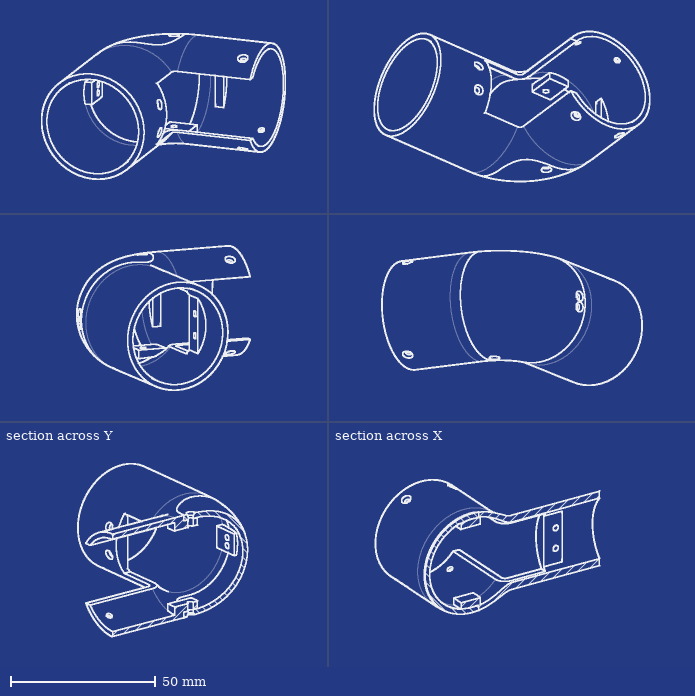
import cadquery as cq
import math


BEND_OUTER = 36.0
TUBE_RADIUS = 19.0
WALL = 2.0
SIDE_ARM_LENGTH = 36.0
END_ARM_LENGTH = 27.0

WINDOW_HALF_HEIGHT = 11.0
SIDE_RING_LENGTH = 22.0

COVER_SETBACK = 4.0

STOP_LENGTH = 3.0
STOP_DEPTH = 3.2
STOP_SETBACK = 3.0

BOSS_LENGTH = 7.6
BOSS_DEPTH = 3.0

PAD_WIDTH = 8.0
PAD_DEPTH = 3.0
PAD_REACH = 6.05
SCREW_PITCH = 4.0

SCREW_BORE = 2.0
SCREW_HEAD = 3.6
HEAD_DEPTH = 1.0
SCREW_REACH = 6.5
DRILL_CLEARANCE = 0.7

END_SCREW_INSET = 5.0
END_SCREW_ANGLE = 30.0
BOSS_SCREW_INSET = 5.0
BOSS_SCREW_ANGLE = 15.5

BEND_ROOT = 0.7

BEND_RADIUS = BEND_OUTER - TUBE_RADIUS
BORE_RADIUS = TUBE_RADIUS - WALL
COVER_CORNER_RADIUS = BEND_RADIUS - COVER_SETBACK
WINDOW_START_Y = SIDE_RING_LENGTH - SIDE_ARM_LENGTH
PAD_SCREW_OFFSET = COVER_SETBACK + PAD_REACH / 2


def block(x_range, y_range, z_range):
    """Axis-aligned block between the given limits."""
    size = [high - low for low, high in (x_range, y_range, z_range)]
    corner = cq.Vector(x_range[0], y_range[0], z_range[0])
    return cq.Workplane("XY").box(*size, centered=False).translate(corner)


def healed(body):
    """The same body with edge tolerances left by cutting the curved bend repaired."""
    return cq.Workplane(body.val().fix())


def side_arm_rod(radius):
    """Solid rod along the side arm."""
    return (
        cq.Workplane("XZ")
        .center(-BEND_RADIUS, 0)
        .circle(radius)
        .extrude(SIDE_ARM_LENGTH)
    )


def end_arm_rod(radius):
    """Solid rod along the end arm."""
    return cq.Workplane("YZ").center(BEND_RADIUS, 0).circle(radius).extrude(END_ARM_LENGTH)


def bend_rod(radius):
    """Quarter-turn rod, cut flat just short of the bend axis."""
    chord_half = math.sqrt(radius**2 - (BEND_RADIUS - BEND_ROOT) ** 2)
    return (
        cq.Workplane("XZ")
        .moveTo(-BEND_ROOT, -chord_half)
        .threePointArc((-BEND_RADIUS - radius, 0), (-BEND_ROOT, chord_half))
        .close()
        .revolve(90, (0, 0), (0, -1))
    )


def elbow_rod(radius):
    """Solid rod along both arms and the bend between them."""
    return side_arm_rod(radius).union(bend_rod(radius)).union(end_arm_rod(radius))


def bend_shell():
    """Curved wall of the whole bend."""
    return bend_rod(TUBE_RADIUS).cut(bend_rod(BORE_RADIUS))


def cover_region():
    """Upright prism holding the outside of the bend, with a rounded inner corner."""
    return (
        block(
            (-BEND_OUTER - 0.7, -COVER_SETBACK),
            (COVER_SETBACK, BEND_OUTER + 0.7),
            (-BEND_OUTER, BEND_OUTER),
        )
        .edges("|Z and >X and <Y")
        .fillet(COVER_CORNER_RADIUS)
    )


def window():
    """Opening along the inside corner, running out through the end arm."""
    z_range = (-WINDOW_HALF_HEIGHT, WINDOW_HALF_HEIGHT)
    side = block((-BEND_RADIUS, BEND_RADIUS), (WINDOW_START_Y, BEND_RADIUS), z_range)
    end = block((-BEND_RADIUS, END_ARM_LENGTH), (-BEND_RADIUS / 2, BEND_RADIUS), z_range)
    return side.union(end)


def stop_rib():
    """Flat-faced rib on the outer wall of the end arm."""
    face_y = BEND_RADIUS + BORE_RADIUS - STOP_DEPTH
    limits = block(
        (STOP_SETBACK, STOP_SETBACK + STOP_LENGTH),
        (face_y, BEND_OUTER),
        (-BORE_RADIUS, BORE_RADIUS),
    )
    return end_arm_rod(TUBE_RADIUS - WALL / 2).intersect(limits)


def screw_boss():
    """Flat-faced boss in the side arm, ending at the window edge."""
    face_x = -BEND_RADIUS + BORE_RADIUS - BOSS_DEPTH
    limits = block(
        (face_x, TUBE_RADIUS),
        (WINDOW_START_Y - BOSS_LENGTH, WINDOW_START_Y),
        (-BORE_RADIUS, BORE_RADIUS),
    )
    return side_arm_rod(TUBE_RADIUS - WALL / 2).intersect(limits)


def screw_hole(axis_point, outward):
    """Countersunk hole drilled square to the tube surface, towards its axis."""
    out = cq.Vector(*outward).normalized()
    surface = cq.Vector(*axis_point) + out * TUBE_RADIUS
    sideways = out.cross(cq.Vector(1, 1, 1))
    return (
        cq.Workplane(cq.Plane(surface, sideways, sideways.cross(out)))
        .polyline(
            [
                (0, DRILL_CLEARANCE),
                (SCREW_HEAD / 2, DRILL_CLEARANCE),
                (SCREW_HEAD / 2, 0),
                (SCREW_BORE / 2, -HEAD_DEPTH),
                (SCREW_BORE / 2, -SCREW_REACH),
                (0, -SCREW_REACH),
            ]
        )
        .close()
        .revolve(360, (0, 0), (0, 1))
    )


def drill(body, holes):
    """Cut every hole out of the body."""
    for hole in holes:
        body = body.cut(hole)
    return body


def bend_screw_hole(x, y, z):
    """Hole square to the bend, aimed through the given point."""
    bend_distance = math.hypot(x, y)
    scale = BEND_RADIUS / bend_distance
    axis_point = (x * scale, y * scale, 0)
    return screw_hole(axis_point, (x - axis_point[0], y - axis_point[1], z))


def cover_screw_holes():
    """A pair of screws on the side, one on top and one underneath."""
    holes = []
    for sign in (-1, 1):
        holes.append(bend_screw_hole(-BEND_OUTER, PAD_SCREW_OFFSET, sign * SCREW_PITCH / 2))
        holes.append(bend_screw_hole(-PAD_SCREW_OFFSET, BEND_RADIUS, sign * TUBE_RADIUS))
    return holes


def arm_screw_holes():
    """Four radial screws at the end-arm opening and two through the boss."""
    end_axis = (END_ARM_LENGTH - END_SCREW_INSET, BEND_RADIUS, 0)
    boss_axis = (-BEND_RADIUS, WINDOW_START_Y - BOSS_SCREW_INSET, 0)
    end_tilt = math.radians(END_SCREW_ANGLE)
    boss_tilt = math.radians(BOSS_SCREW_ANGLE)
    holes = []
    for up in (-1, 1):
        holes.append(screw_hole(boss_axis, (math.cos(boss_tilt), 0, up * math.sin(boss_tilt))))
        for side in (-1, 1):
            outward = (0, side * math.sin(end_tilt), up * math.cos(end_tilt))
            holes.append(screw_hole(end_axis, outward))
    return holes


def cover_pads():
    """Three pads that reach from the housing bend to underneath the cover."""
    half = PAD_WIDTH / 2
    pad_end = COVER_SETBACK + PAD_REACH
    face = BORE_RADIUS - PAD_DEPTH
    side_pad = block((-BEND_OUTER, -BEND_RADIUS - face), (0, pad_end), (-half, half))
    y_range = (BEND_RADIUS - half, BEND_RADIUS + half)
    top_pad = block((-pad_end, 0), y_range, (face, TUBE_RADIUS))
    bottom_pad = block((-pad_end, 0), y_range, (-TUBE_RADIUS, -face))
    pads = drill(side_pad.union(top_pad).union(bottom_pad), cover_screw_holes())
    return healed(pads.intersect(bend_rod(BORE_RADIUS)))


def make_housing():
    """Both arms and the inside of the bend, with stop rib, boss and pads."""
    tube = elbow_rod(TUBE_RADIUS).cut(elbow_rod(BORE_RADIUS)).cut(window())
    open_tube = tube.cut(bend_shell().intersect(cover_region()))
    ribbed_tube = open_tube.union(stop_rib()).union(screw_boss())
    return drill(ribbed_tube, arm_screw_holes()).union(cover_pads())


def make_cover():
    """Curved shell that closes the outside of the bend, with its screw holes."""
    drilled_rod = drill(bend_rod(TUBE_RADIUS), cover_screw_holes())
    shell = drilled_rod.intersect(cover_region()).cut(bend_rod(BORE_RADIUS))
    return healed(shell)


housing = make_housing()
cover = make_cover()
result = cq.Compound.makeCompound([*housing.solids().vals(), *cover.solids().vals()])